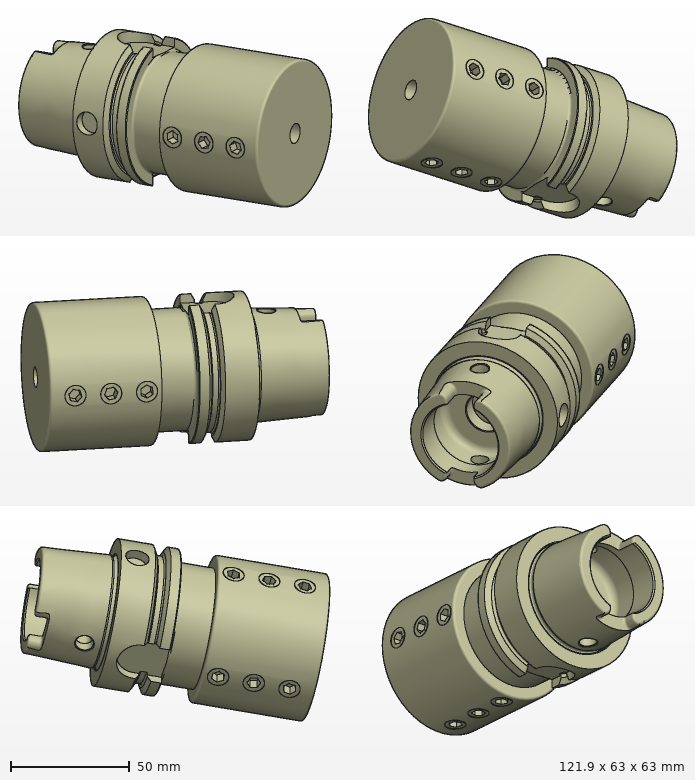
import cadquery as cq
import math

overall_length = 121.9

body_radius = 31.51
body_start = 41.8
body_end = 90.0
body_rounding = 1.1
neck_radius = 26.0
neck_rounding = 1.1

flange_radius = body_radius
flange_length = 26.0
flange_chamfer = 0.4
groove_center = 18.0
groove_mouth_half_width = 3.35
groove_wall_half_width = 1.8
groove_root_rounding = 0.6
groove_floor_radius = 27.3
groove_flank_angle = 30

tip_x = body_end - overall_length
tip_radius = 22.7
tip_rounding = 1.1
root_radius = 24.3

relief_start = -2.2
relief_floor_start = -1.5
relief_floor_end = -0.5
relief_floor_radius = 23.9
relief_rounding = 0.7
relief_rim_radius = 25.1

mouth_radius = 17.1
mouth_depth = 13.5
mouth_chamfer = 0.6
chamber_radius = 19.3
chamber_entry_angle = 60
chamber_rounding = 3.4
chamber_floor_x = -2.8
socket_radius = 8.7
socket_depth = 7.3
socket_chamfer = 0.4
through_radius = 4.3

drive_slot_half_width = 6.03
drive_slot_lip_height = 20.6
drive_slot_lip_rounding = 3.0
drive_slot_root_rounding = 1.1
upper_slot_depth = 10.0
lower_slot_depth = 6.0

cross_hole_x = -9.1
cross_hole_radius = 3.8
cross_hole_chamfer = 0.4

keyway_half_width = 9.0
keyway_end_x = 4.9
keyway_floor_height = 26.2

rim_hole_x = 7.0
rim_hole_radius = 5.0
rim_hole_depth = 4.5

screw_radius = 4.5
screw_length = 12.2
screw_recess = 0.4
first_screw_x = 48.4
screw_pitch = 15.4
hex_width = 5.0
hex_depth = 4.9
hex_turns = [32, 10, 47]
row_angles = [0, 90, 180]

screw_top = body_radius - screw_recess
screw_seat = screw_top - screw_length


def turned(outline):
    """Solid of revolution about X from a closed (x, radius) outline."""
    return outline.close().revolve(360, (0, 0, 0), (1, 0, 0))


def turned_over(shape):
    """The same shape on the opposite side of the X axis."""
    return shape.rotate((0, 0, 0), (1, 0, 0), 180)


def shank_and_flange():
    flank_width = groove_mouth_half_width - groove_wall_half_width
    wall_top = flange_radius - flank_width / math.tan(math.radians(groove_flank_angle))
    wall_bottom = groove_floor_radius + groove_root_rounding
    floor_half_width = groove_wall_half_width - groove_root_rounding
    return turned(
        cq.Workplane("XY")
        .moveTo(tip_x, 0)
        .lineTo(tip_x, tip_radius)
        .lineTo(relief_start, root_radius)
        .lineTo(relief_floor_start, relief_floor_radius)
        .lineTo(relief_floor_end, relief_floor_radius)
        .tangentArcPoint(
            (relief_floor_end + relief_rounding, relief_floor_radius + relief_rounding),
            relative=False,
        )
        .lineTo(0, relief_rim_radius)
        .lineTo(0, flange_radius)
        .lineTo(groove_center - groove_mouth_half_width, flange_radius)
        .lineTo(groove_center - groove_wall_half_width, wall_top)
        .lineTo(groove_center - groove_wall_half_width, wall_bottom)
        .tangentArcPoint((groove_center - floor_half_width, groove_floor_radius), relative=False)
        .lineTo(groove_center + floor_half_width, groove_floor_radius)
        .tangentArcPoint((groove_center + groove_wall_half_width, wall_bottom), relative=False)
        .lineTo(groove_center + groove_wall_half_width, wall_top)
        .lineTo(groove_center + groove_mouth_half_width, flange_radius)
        .lineTo(flange_length - flange_chamfer, flange_radius)
        .lineTo(flange_length, flange_radius - flange_chamfer)
        .lineTo(flange_length, neck_radius + neck_rounding)
        .tangentArcPoint((flange_length + neck_rounding, neck_radius), relative=False)
        .lineTo(body_start, neck_radius)
        .lineTo(body_start, 0)
    )


def clamping_body():
    cylinder = cq.Workplane("YZ", origin=(body_start, 0, 0)).circle(body_radius)
    return cylinder.extrude(body_end - body_start).edges().fillet(body_rounding)


def shank_bore():
    mouth_end = tip_x + mouth_depth
    entry_length = (chamber_radius - mouth_radius) / math.tan(math.radians(chamber_entry_angle))
    socket_end = chamber_floor_x + socket_depth
    return turned(
        cq.Workplane("XY")
        .moveTo(tip_x, 0)
        .lineTo(tip_x, mouth_radius)
        .lineTo(mouth_end, mouth_radius)
        .lineTo(mouth_end + entry_length, chamber_radius)
        .lineTo(chamber_floor_x - chamber_rounding, chamber_radius)
        .tangentArcPoint((chamber_floor_x, chamber_radius - chamber_rounding), relative=False)
        .lineTo(chamber_floor_x, socket_radius + socket_chamfer)
        .lineTo(chamber_floor_x + socket_chamfer, socket_radius)
        .lineTo(socket_end, socket_radius)
        .lineTo(socket_end, through_radius)
        .lineTo(body_end, through_radius)
        .lineTo(body_end, 0)
    )


def drive_slot(depth):
    """Cutter that opens towards +Z and widens over rounded lips."""
    lip_y = drive_slot_half_width + drive_slot_lip_rounding
    wall_top = drive_slot_lip_height - drive_slot_lip_rounding
    outline = (
        cq.Workplane("YZ", origin=(tip_x, 0, 0))
        .moveTo(drive_slot_half_width, 0)
        .lineTo(drive_slot_half_width, wall_top)
        .tangentArcPoint((lip_y, drive_slot_lip_height), relative=False)
        .lineTo(flange_radius, drive_slot_lip_height)
        .lineTo(flange_radius, flange_radius)
        .lineTo(0, flange_radius)
        .mirrorY()
    )
    return outline.extrude(depth).faces(">X").edges().fillet(drive_slot_root_rounding)


def finish_tip(body):
    """Round the edges of the two tip lips, but chamfer them along the bore mouth."""
    lip_edges = []
    for edge in body.faces("<X").edges().vals():
        along_mouth = edge.geomType() == "CIRCLE" and math.isclose(edge.radius(), mouth_radius)
        if not along_mouth:
            lip_edges.append(edge)
    mouth_cone = turned(
        cq.Workplane("XY")
        .moveTo(tip_x, 0)
        .lineTo(tip_x, mouth_radius + mouth_chamfer)
        .lineTo(tip_x + mouth_chamfer, mouth_radius)
        .lineTo(tip_x + mouth_chamfer, 0)
    )
    return body.newObject(lip_edges).fillet(tip_rounding).cut(mouth_cone)


def keyway():
    """Cutter that opens towards +Z and runs out of the rear of the flange."""
    round_center = keyway_end_x + keyway_half_width
    return (
        cq.Workplane("XY", origin=(0, 0, keyway_floor_height))
        .moveTo(round_center, keyway_half_width)
        .threePointArc((keyway_end_x, 0), (round_center, -keyway_half_width))
        .lineTo(body_start, -keyway_half_width)
        .lineTo(body_start, keyway_half_width)
        .close()
        .extrude(flange_radius - keyway_floor_height)
    )


def cut_cross_hole(body):
    drill = (
        cq.Workplane("XY", origin=(cross_hole_x, 0, -flange_radius))
        .circle(cross_hole_radius)
        .extrude(2 * flange_radius)
    )
    body = body.cut(drill)
    reach = cross_hole_radius + cross_hole_chamfer
    for side in (1, -1):
        outer_rim = cq.selectors.BoxSelector(
            (cross_hole_x - reach, -reach, side * tip_radius),
            (cross_hole_x + reach, reach, side * root_radius),
        )
        body = body.edges(outer_rim).chamfer(cross_hole_chamfer)
    return body


def rim_hole():
    floor = flange_radius - rim_hole_depth
    return (
        cq.Workplane("XZ", origin=(rim_hole_x, -floor, 0))
        .circle(rim_hole_radius)
        .extrude(rim_hole_depth)
    )


def screw_blank(top):
    """Screw-wide cylinder at -Y from the screw seat out to the given distance."""
    return cq.Workplane("XZ", origin=(0, -screw_seat, 0)).circle(screw_radius).extrude(top - screw_seat)


def set_screw(hex_turn):
    across_corners = hex_width / math.cos(math.pi / 6)
    hexagon = (
        cq.Workplane("XZ", origin=(0, -screw_top, 0))
        .polygon(6, across_corners)
        .extrude(-hex_depth)
        .rotate((0, 0, 0), (0, 1, 0), -hex_turn)
    )
    return screw_blank(screw_top).cut(hexagon)


def in_screw_rows(column_shapes):
    """Copies of one shape per column, repeated in every row around the body."""
    placed = []
    for row_angle in row_angles:
        for column, shape in enumerate(column_shapes):
            moved = shape.translate((first_screw_x + column * screw_pitch, 0, 0))
            placed.append(moved.rotate((0, 0, 0), (1, 0, 0), row_angle))
    return placed


def holder_housing():
    body = shank_and_flange().cut(shank_bore())
    body = body.cut(drive_slot(upper_slot_depth))
    body = body.cut(turned_over(drive_slot(lower_slot_depth)))
    body = finish_tip(body)
    body = cut_cross_hole(body)
    body = body.cut(keyway()).cut(turned_over(keyway()))
    body = body.cut(rim_hole())
    body = body.union(clamping_body().cut(shank_bore()))
    for screw_hole in in_screw_rows([screw_blank(body_radius)] * len(hex_turns)):
        body = body.cut(screw_hole)
    return body


housing = holder_housing()
screws = in_screw_rows([set_screw(turn) for turn in hex_turns])
result = cq.Compound.makeCompound([housing.val(), *[screw.val() for screw in screws]])